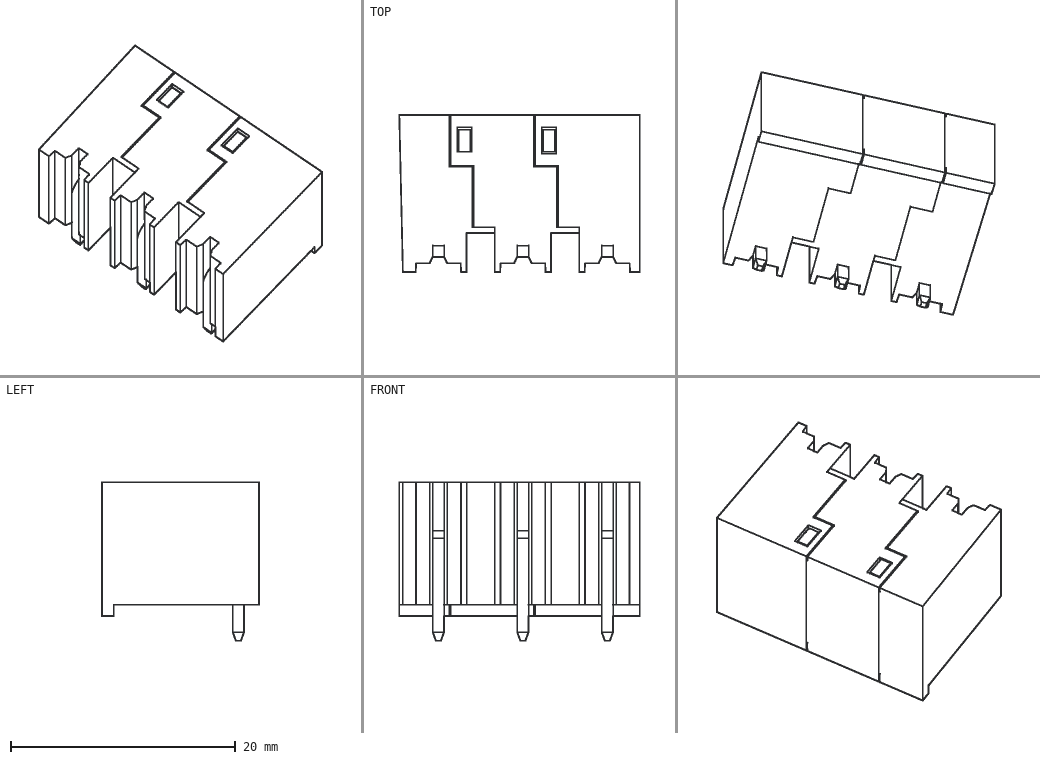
import cadquery as cq


width = 21.4
depth = 14.0
height = 14.1
pole_count = 3
pitch = 7.51
end_margin = 2.89
last_pin_x = width - end_margin
first_pin_x = last_pin_x - (pole_count - 1) * pitch
end_wall_draft = 0.32

joint_gap = 0.1
joint_gap_depth = 0.51
tongue_x = 0.98
shoulder_x = 3.02
shoulder_y = 9.37
arm_y = 4.0
slot_back_y = 3.47
rib_x = 2.5

body_bottom_z = 3.19
foot_bottom_z = 2.2
foot_depth = 1.07

shelf_y = 0.8
shelf_half_width = 1.97
mouth_half_width = 2.01
flare_half_width = 0.77

pin_size = 1.0
pin_front_y = 1.35
pin_back_y = pin_front_y + pin_size
bend_radius = 1.5
bend_inner_radius = bend_radius - pin_size
bend_y = pin_front_y + bend_radius
bend_start_z = 7.65
pin_top_z = bend_start_z + bend_radius
pin_end_y = 5.35
tip_length = 0.75
tip_size = 0.47
lead_in = 0.65

window_x = -5.2
window_width = 1.3
last_window_front_y = 10.55
window_back_y = 12.88
moat_depth = 0.51
pad_drop = 0.15
pad_width = 1.0
pad_front_y = 10.72
pad_back_y = 12.67


def box(x_min, x_max, y_min, y_max, z_min, z_max):
    size = (x_max - x_min, y_max - y_min, z_max - z_min)
    return cq.Workplane().box(*size, centered=False).translate((x_min, y_min, z_min))


def left_side(is_first):
    """Left side of a housing, from the back to the front."""
    if is_first:
        return [(-first_pin_x, depth), (end_wall_draft - first_pin_x, 0)]
    back_x = tongue_x + joint_gap - pitch
    middle_x = shoulder_x + joint_gap - pitch
    step_y = shoulder_y + joint_gap
    return [
        (back_x, depth),
        (back_x, step_y),
        (middle_x, step_y),
        (middle_x, arm_y),
        (-rib_x, arm_y),
        (-rib_x, 0),
    ]


def pin_recess():
    """Front edge of a housing around its pin, from left to right."""
    pin_half = pin_size / 2
    left_half = [
        (-mouth_half_width, 0),
        (-shelf_half_width, shelf_y),
        (-flare_half_width, shelf_y),
        (-pin_half, pin_front_y),
        (-pin_half, pin_back_y),
    ]
    right_half = [(-x, y) for x, y in reversed(left_half)]
    return left_half + right_half


def right_side(is_last):
    """Right side of a housing, from the front to the back."""
    if is_last:
        return [(end_margin, 0), (end_margin, depth)]
    arm_end_x = pitch - rib_x
    return [
        (rib_x, 0),
        (rib_x, slot_back_y),
        (arm_end_x, slot_back_y),
        (arm_end_x, arm_y),
        (shoulder_x, arm_y),
        (shoulder_x, shoulder_y),
        (tongue_x, shoulder_y),
        (tongue_x, depth),
    ]


def joint_lip():
    """Lip along the right side of a housing that closes the lower part of the joint gap."""
    lip_outline = [
        (tongue_x, depth),
        (tongue_x, shoulder_y),
        (shoulder_x, shoulder_y),
        (shoulder_x, arm_y),
        (shoulder_x + joint_gap, arm_y),
        (shoulder_x + joint_gap, shoulder_y + joint_gap),
        (tongue_x + joint_gap, shoulder_y + joint_gap),
        (tongue_x + joint_gap, depth),
    ]
    return (
        cq.Workplane("XY", origin=(0, 0, body_bottom_z))
        .polyline(lip_outline)
        .close()
        .extrude(height - joint_gap_depth - body_bottom_z)
    )


def make_pin():
    """Square pin that comes up from its tapered tip and bends back into the housing."""
    shank = (
        cq.Workplane("YZ")
        .moveTo(pin_front_y, tip_length)
        .lineTo(pin_front_y, bend_start_z)
        .radiusArc((bend_y, pin_top_z), bend_radius)
        .lineTo(pin_end_y, pin_top_z)
        .lineTo(pin_end_y, pin_top_z - pin_size)
        .lineTo(bend_y, pin_top_z - pin_size)
        .radiusArc((pin_back_y, bend_start_z), -bend_inner_radius)
        .lineTo(pin_back_y, tip_length)
        .close()
        .extrude(pin_size / 2, both=True)
    )
    tip = (
        cq.Workplane("XY")
        .center(0, pin_front_y + pin_size / 2)
        .rect(tip_size, tip_size)
        .workplane(offset=tip_length)
        .rect(pin_size, pin_size)
        .loft()
    )
    return shank.union(tip)


def pin_lead_in():
    """Sloped relief in the recess wall, just above the entering pin."""
    return (
        cq.Workplane("YZ")
        .moveTo(pin_back_y, pin_top_z + lead_in)
        .lineTo(pin_back_y + lead_in, pin_top_z)
        .lineTo(pin_back_y, pin_top_z)
        .close()
        .extrude(pin_size / 2, both=True)
    )


def bend_relief():
    """Opening above the pin's outer curve, where the bend enters the recess wall."""
    half = pin_size / 2
    return box(-half, half, pin_back_y, bend_y, pin_top_z - pin_size, pin_top_z)


def marker_window(front_y):
    """Moat and sunken pad in the top of a housing, with the front wall at front_y."""
    half = window_width / 2
    pad_half = pad_width / 2
    moat = box(window_x - half, window_x + half, front_y, window_back_y, height - moat_depth, height)
    pad = box(
        window_x - pad_half, window_x + pad_half, pad_front_y, pad_back_y,
        height - moat_depth, height - pad_drop,
    )
    return moat.cut(pad)


def make_housing(index):
    is_first = index == 0
    is_last = index == pole_count - 1
    outline = left_side(is_first) + pin_recess() + right_side(is_last)
    block = (
        cq.Workplane("XY", origin=(0, 0, foot_bottom_z))
        .polyline(outline)
        .close()
        .extrude(height - foot_bottom_z)
    )
    under_body = box(-width, width, 0, depth - foot_depth, foot_bottom_z, body_bottom_z)
    housing = block.cut(under_body).cut(bend_relief()).cut(pin_lead_in()).cut(make_pin())
    if not is_last:
        housing = housing.union(joint_lip())
    if not is_first:
        housing = housing.cut(marker_window(last_window_front_y if is_last else pad_front_y))
    return housing


housings = []
pins = []
for pole in range(pole_count):
    pole_place = (first_pin_x + pole * pitch, 0, 0)
    housings.append(make_housing(pole).translate(pole_place).val())
    pins.append(make_pin().translate(pole_place).val())

result = cq.Compound.makeCompound([*housings, *pins])